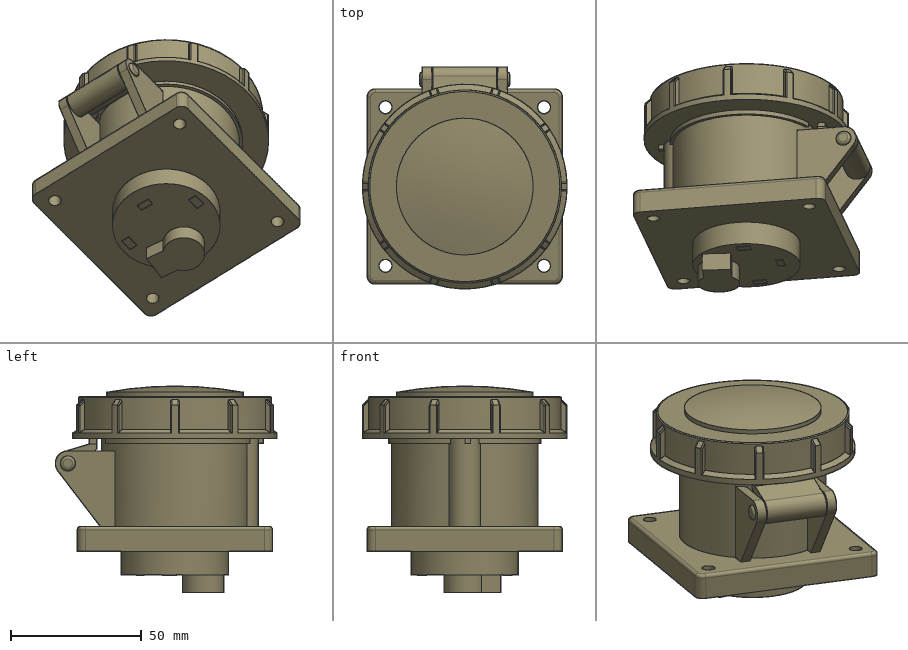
import cadquery as cq
import math


plate_side = 74.8
plate_height = 9.6
plate_corner_radius = 3.15
plate_top_fillet = 1.4
screw_hole_diameter = 4.85
screw_hole_spacing = 60.7

barrel_radius = 28.1
bulge_radius = 6.2
bulge_offset = 25.75
rim_radius = 29.2
rim_height = 1.8
lid_bottom_z = 43.2

spigot_radius = 20.6
spigot_length = 9.0
pad_height = 0.25
side_pad_size = (3.4, 5.3)
side_pad_position = (16.3, 2.1)
rear_pad_size = (5.3, 2.8)
rear_pad_y = 13.3
plug_radius = 8.0
plug_y = -10.8
plug_length = 6.8
plug_key_width = 10.9
plug_key_reach = 13.3
plug_key_angle = 7.0

hinge_y = 41.0
hinge_z = 33.7
knuckle_radius = 4.85
ear_outer_x = 16.3
ear_inner_x = 12.6
ear_foot_y = 28.65
pin_radius = 2.9
pin_half_length = 17.25
pin_end_fillet = 1.1
arm_half_width = 12.15
arm_outer_y = 32.8
arm_inner_y = 29.9
arm_shoulder_z = 41.1
arm_corner_z = 39.3
arm_corner_chamfer = 0.7
post_half_width = arm_half_width - 0.85

lid_radius = 37.0
lid_top_z = 59.3
lid_edge_width = 0.6
lid_edge_height = 0.3
skirt_radius = 39.2
skirt_height = 2.2
skirt_slope_height = 1.3
blank_allowance = 0.85
blank_radius = skirt_radius + blank_allowance
disc_radius = 26.2
disc_edge_z = 60.95
dome_top_z = 63.3

rib_count = 10
rib_width = 3.4
rib_chamfer = 0.5
rib_shoulder_z = 55.9
rib_top_z = 58.1
rib_outer_radius = skirt_radius + 0.1
rib_root_radius = lid_radius - 1.7
lug_x = 0.1
lug_width = 2.0
lug_outer_y = -33.8
lug_inner_y = -(bulge_offset + bulge_radius)


def cylinder(radius, bottom_z, top_z, x=0.0, y=0.0):
    """Upright cylinder between two heights."""
    return cq.Workplane("XY", origin=(x, y, bottom_z)).circle(radius).extrude(top_z - bottom_z)


def block(x_range, y_range, z_range):
    """Box given by its limits along each axis."""
    size = [high - low for low, high in (x_range, y_range, z_range)]
    corner = cq.Vector(x_range[0], y_range[0], z_range[0])
    return cq.Workplane(cq.Solid.makeBox(*size, corner))


def hinge_cylinder(radius, start_x, end_x):
    """Cylinder on the hinge axis, which runs along X."""
    plane = cq.Workplane("YZ", origin=(start_x, hinge_y, hinge_z))
    return plane.circle(radius).extrude(end_x - start_x)


def side_prism(points, start_x, end_x):
    """Outline of (Y, Z) points extruded along X."""
    return cq.Workplane("YZ", origin=(start_x, 0, 0)).polyline(points).close().extrude(end_x - start_x)


def knuckle_tangent_point(y, z, side):
    """Point where a line from (y, z) touches the knuckle circle; side +1 or -1 picks one of two."""
    dy = y - hinge_y
    dz = z - hinge_z
    angle = math.atan2(dz, dy) + side * math.acos(knuckle_radius / math.hypot(dy, dz))
    return hinge_y + knuckle_radius * math.cos(angle), hinge_z + knuckle_radius * math.sin(angle)


def make_plate():
    plate = cq.Workplane("XY").rect(plate_side, plate_side).extrude(plate_height)
    plate = plate.edges("|Z").fillet(plate_corner_radius)
    plate = plate.faces(">Z").edges().fillet(plate_top_fillet)
    holes = cq.Workplane("XY").rect(screw_hole_spacing, screw_hole_spacing, forConstruction=True)
    return plate.cut(holes.vertices().circle(screw_hole_diameter / 2).extrude(plate_height))


def make_barrel():
    """Round barrel with the front bulge and a rim that leaves room for the lid arm."""
    rim_bottom_z = lid_bottom_z - rim_height
    rim = cylinder(rim_radius, rim_bottom_z, lid_bottom_z)
    arm_gap = block((-arm_half_width, arm_half_width), (0, arm_inner_y), (rim_bottom_z, lid_bottom_z))
    barrel = cylinder(barrel_radius, plate_height, lid_bottom_z)
    bulge = cylinder(bulge_radius, plate_height, lid_bottom_z, y=-bulge_offset)
    return rim.cut(arm_gap).union(barrel).union(bulge)


def make_ear(start_x, end_x):
    """One hinge ear: round nose, flat top, and a sloping edge down to the plate."""
    outline = [
        (0, plate_height),
        (ear_foot_y, plate_height),
        knuckle_tangent_point(ear_foot_y, plate_height, 1),
        (hinge_y, hinge_z),
        (hinge_y, hinge_z + knuckle_radius),
        (0, hinge_z + knuckle_radius),
    ]
    return side_prism(outline, start_x, end_x).union(hinge_cylinder(knuckle_radius, start_x, end_x))


def make_plug():
    """Cable plug under the spigot: a round post with a flat-sided key."""
    bottom_z = -spigot_length - plug_length
    key = cq.Workplane("XY", origin=(0, 0, bottom_z)).rect(plug_key_reach, plug_key_width).extrude(plug_length)
    key = key.translate((plug_key_reach / 2, 0, 0))
    key = key.rotate((0, 0, 0), (0, 0, 1), plug_key_angle).translate((0, plug_y, 0))
    return cylinder(plug_radius, bottom_z, -spigot_length, y=plug_y).union(key)


def make_pads():
    """Thin raised pads on the end of the spigot."""
    plane = cq.Workplane("XY", origin=(0, 0, -spigot_length - pad_height))
    side_x, side_y = side_pad_position
    sides = plane.pushPoints([(-side_x, side_y), (side_x, side_y)]).rect(*side_pad_size).extrude(pad_height)
    rear = plane.center(0, rear_pad_y).rect(*rear_pad_size).extrude(pad_height)
    return sides.union(rear)


def make_housing():
    housing = make_plate().union(make_barrel())
    housing = housing.union(make_ear(ear_inner_x, ear_outer_x))
    housing = housing.union(make_ear(-ear_outer_x, -ear_inner_x))
    housing = housing.union(cylinder(spigot_radius, -spigot_length, 0))
    housing = housing.union(make_plug()).union(make_pads())
    return housing.cut(hinge_cylinder(pin_radius, -ear_outer_x, ear_outer_x))


def make_lid_body():
    """Turned blank: oversize skirt, wall with a bevelled edge, raised disc and domed top."""
    skirt_slope = skirt_slope_height / (skirt_radius - lid_radius)
    blank_edge_z = lid_bottom_z + skirt_height - skirt_slope * blank_allowance
    dome_rise = dome_top_z - disc_edge_z
    dome_radius = (disc_radius**2 + dome_rise**2) / (2 * dome_rise)
    mid_r = disc_radius / 2
    mid_z = dome_top_z - dome_radius + math.sqrt(dome_radius**2 - mid_r**2)
    profile = (
        cq.Workplane("XZ")
        .moveTo(0, lid_bottom_z)
        .lineTo(blank_radius, lid_bottom_z)
        .lineTo(blank_radius, blank_edge_z)
        .lineTo(lid_radius, lid_bottom_z + skirt_height + skirt_slope_height)
        .lineTo(lid_radius, lid_top_z - lid_edge_height)
        .lineTo(lid_radius - lid_edge_width, lid_top_z)
        .lineTo(disc_radius, lid_top_z)
        .lineTo(disc_radius, disc_edge_z)
        .threePointArc((mid_r, mid_z), (0, dome_top_z))
        .close()
    )
    return profile.revolve(360, (0, 0, 0), (0, 1, 0))


def make_rib():
    """Grip rib on the +X side, with a sloping top and bevelled outer edges."""
    outline = [
        (rib_root_radius, lid_bottom_z),
        (rib_outer_radius, lid_bottom_z),
        (rib_outer_radius, rib_shoulder_z),
        (lid_radius, rib_top_z),
        (rib_root_radius, rib_top_z),
    ]
    rib = cq.Workplane("XZ").polyline(outline).close().extrude(rib_width / 2, both=True)
    outer_edges = rib.faces(">X").edges("|Z")
    slope_middle = ((rib_outer_radius + lid_radius) / 2, 0, (rib_shoulder_z + rib_top_z) / 2)
    slope_face = rib.faces(cq.selectors.NearestToPointSelector(slope_middle))
    return rib.newObject(outer_edges.vals() + slope_face.edges("not |Y").vals()).chamfer(rib_chamfer)


def make_arm():
    """Hinge knuckle, sloping arm and the post that carries the lid."""
    outline = [
        (hinge_y, hinge_z),
        knuckle_tangent_point(arm_outer_y, arm_shoulder_z, -1),
        (arm_outer_y, arm_shoulder_z),
        (arm_inner_y, arm_shoulder_z),
        (arm_inner_y, arm_corner_z),
        (arm_inner_y + arm_corner_chamfer, arm_corner_z - arm_corner_chamfer),
    ]
    arm = side_prism(outline, -arm_half_width, arm_half_width)
    arm = arm.union(hinge_cylinder(knuckle_radius, -arm_half_width, arm_half_width))
    post_x = (-post_half_width, post_half_width)
    post = block(post_x, (arm_inner_y, arm_outer_y), (arm_shoulder_z, lid_bottom_z))
    return arm.union(post).cut(hinge_cylinder(pin_radius, -arm_half_width, arm_half_width))


def make_lid():
    """Ribbed blank trimmed to the round skirt, so that ribs and skirt share one outer face."""
    lid = make_lid_body()
    rib = make_rib()
    for index in range(rib_count):
        lid = lid.union(rib.rotate((0, 0, 0), (0, 0, 1), index * 360 / rib_count))
    lid = lid.intersect(cylinder(skirt_radius, lid_bottom_z, dome_top_z))
    lug_z = (lid_bottom_z - rim_height, lid_bottom_z)
    lug = block((lug_x, lug_x + lug_width), (lug_outer_y, lug_inner_y), lug_z)
    return lid.union(lug).union(make_arm())


def make_pin():
    """Hinge pin with rounded ends."""
    pin = hinge_cylinder(pin_radius, -pin_half_length, pin_half_length)
    return pin.faces("<X or >X").edges().fillet(pin_end_fillet)


housing = make_housing()
lid = make_lid()
hinge_pin = make_pin()
result = cq.Compound.makeCompound([housing.val(), lid.val(), hinge_pin.val()])